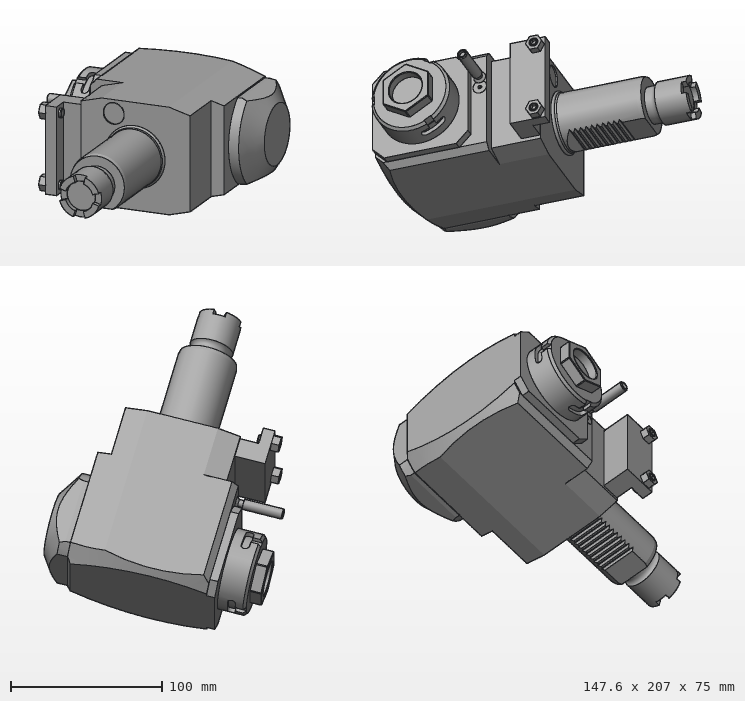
import cadquery as cq
import math


HALF_HEIGHT = 37.5
HOUSING_LEFT = -47.6
HOUSING_RIGHT = 48.6
HOUSING_BACK = 113.8
SHOULDER_Y = 35.0
LEFT_CHAMFER = 4.3
BLOCK_HALF_WIDTH = 39.3
FLAT_HALF_WIDTH = 24.2
SIDE_SLOPE = math.tan(math.radians(15))
BACK_CHAMFER_X = 3.0
CROWN_X = -9.5
CROWN_REACH = 104.1
CROWN_RADIUS = 182.2
PLUG_X = -15.7
PLUG_Z = 27.7
PLUG_RADIUS = 7.5
PLUG_DEPTH = 1.0

SPINDLE_Y = 80.0
PLATE_LEFT = -53.2
PLATE_FRONT = 46.2
PLATE_HALF_HEIGHT = 33.3
PLATE_CHAMFER = 8.3
COLLAR_LEFT = -72.5
COLLAR_RADIUS = 27.5
COLLAR_CHAMFER = 1.9
SLOT_X = -62.7
SLOT_WIDTH = 5.4
SLOT_LENGTH = 18.8
SLOT_DEPTH = 3.0
NOTCH_WIDTH = 5.4
NOTCH_DEPTH = 2.5
NOTCH_COUNT = 3
HEX_LEFT = -80.3
HEX_FLATS = 32.0
HEX_CHAMFER = 0.52
BORE_RADIUS = 11.5
BORE_DEPTH = 6.6
BORE_CHAMFER = 0.52

CAP_BACK = 110.0
CAP_RADIUS = 37.7
CAP_CONE_X = 55.9
CAP_RIGHT = 67.3
CAP_END_RADIUS = 21.3
CAP_HALF_HEIGHT = 30.0

PIN_Y = 40.0
PIN_Z = 17.5
PIN_LEFT = -80.0
PIN_RADIUS = 3.5
PIN_CHAMFER = 0.6
PIN_NECK_X = -52.5
PIN_NECK_RADIUS = 2.5
PIN_FLARE_X = -49.3
PIN_FLARE_RADIUS = 4.1
PIN_SOCKET_RADIUS = 2.3
PIN_SOCKET_DEPTH = 2.0
SEAT_Z = 10.4
SEAT_RADIUS = 4.8
SEAT_DEPTH = 0.2
SEAT_HOLE_RADIUS = 1.2
SEAT_HOLE_DEPTH = 2.0

BRACKET_LEFT = -60.0
BRACKET_BACK = 13.7
BRACKET_INNER_Y = 0.5
BRACKET_FRONT = -11.2
BRACKET_LEG = 8.0
BRACKET_HALF_HEIGHT = 30.8
SCREW_Y = -5.0
SCREW_Z = 25.0
SCREW_LEFT = -65.6
SCREW_RIGHT = -50.0
SCREW_RADIUS = 3.3
SCREW_CHAMFER = 0.6
SOCKET_FLATS = 4.0
SOCKET_DEPTH = 2.5
NUT_LEFT = -65.2
NUT_FLATS = 10.0

BEAD_RADIUS = 21.7
BEAD_LENGTH = 2.5
ROOT_END = -3.7
SHANK_RADIUS = 20.0
SHANK_END = -63.1
SHANK_CHAMFER_LENGTH = 2.7
SHANK_CHAMFER = 0.6
FLAT_Z = -16.1
TOOTH_PITCH = 4.0
TOOTH_DEPTH = 1.5
TOOTH_GAP_WIDTH = 2.7
FIRST_GAP_Y = -10.4
GAP_COUNT = 10
NECK_RADIUS = 12.6
NECK_END = -67.5
COUPLING_START = -71.0
COUPLING_RADIUS = 14.7
COUPLING_END = -93.2
COUPLING_BORE_RADIUS = 10.1
COUPLING_BORE_DEPTH = 4.0
CLAW_DEPTH = 3.3
CLAW_GAP_HALF_ANGLE = math.radians(17)
CLAW_GAP_COUNT = 4


def box(x0, x1, y0, y1, z0, z1):
    """Box between two opposite corners."""
    return cq.Workplane("XY").box(x1 - x0, y1 - y0, z1 - z0, centered=False).translate((x0, y0, z0))


def x_cylinder(radius, x0, x1, y, z):
    """Cylinder along X."""
    return cq.Workplane("YZ", origin=(x0, y, z)).circle(radius).extrude(x1 - x0)


def x_hexagon(flats, x0, x1, y, z, turn=0):
    """Hexagonal prism along X; without a turn its corners point along Y."""
    corners = flats / math.cos(math.pi / 6)
    prism = cq.Workplane("YZ").polygon(6, corners).extrude(x1 - x0)
    return prism.rotate((0, 0, 0), (1, 0, 0), turn).translate((x0, y, z))


def x_revolve(profile, y, z):
    """Turn a closed (x, radius) outline about an X axis through (y, z)."""
    turned = cq.Workplane("XY").polyline(profile).close().revolve(360, (0, 0, 0), (1, 0, 0))
    return turned.translate((0, y, z))


def slope_height(x):
    """Half height of the housing on its sloping sides."""
    return HALF_HEIGHT - SIDE_SLOPE * (abs(x) - FLAT_HALF_WIDTH)


def mirrored_prism(upper, y0, y1):
    """Extrude along Y an XZ outline given by its upper points, left to right, mirrored in Z."""
    lower = [(x, -z) for x, z in reversed(upper)]
    return cq.Workplane("XZ", origin=(0, y1, 0)).polyline(upper + lower).close().extrude(y1 - y0)


def crown(side):
    """Space inside the arched rear bevel, which leans at 45 degrees; side is 1 on top, -1 below."""
    def reach(x):
        return CROWN_REACH - CROWN_RADIUS + math.sqrt(CROWN_RADIUS**2 - (x - CROWN_X)**2)

    bevel = cq.Plane(origin=(0, 0, 0), xDir=(1, 0, 0), normal=(0, -side, 1))
    return (
        cq.Workplane(bevel)
        .moveTo(HOUSING_LEFT, 0)
        .lineTo(HOUSING_LEFT, reach(HOUSING_LEFT))
        .threePointArc((CROWN_X, CROWN_REACH), (HOUSING_RIGHT, reach(HOUSING_RIGHT)))
        .lineTo(HOUSING_RIGHT, 0)
        .close()
        .extrude(HOUSING_BACK, both=True)
    )


def housing():
    upper = mirrored_prism(
        [
            (HOUSING_LEFT, HALF_HEIGHT - LEFT_CHAMFER),
            (HOUSING_LEFT + LEFT_CHAMFER, HALF_HEIGHT),
            (FLAT_HALF_WIDTH, HALF_HEIGHT),
            (HOUSING_RIGHT, slope_height(HOUSING_RIGHT)),
        ],
        SHOULDER_Y,
        HOUSING_BACK,
    )
    plan = (
        cq.Workplane("XY", origin=(0, 0, -HALF_HEIGHT))
        .moveTo(HOUSING_LEFT, SPINDLE_Y)
        .lineTo(HOUSING_LEFT, HOUSING_BACK)
        .lineTo(HOUSING_RIGHT - BACK_CHAMFER_X, HOUSING_BACK)
        .lineTo(HOUSING_RIGHT, CAP_BACK)
        .lineTo(HOUSING_RIGHT, SPINDLE_Y)
        .close()
        .extrude(2 * HALF_HEIGHT)
    )
    front_half = box(HOUSING_LEFT, HOUSING_RIGHT, SHOULDER_Y, SPINDLE_Y, -HALF_HEIGHT, HALF_HEIGHT)
    rear_half = plan.intersect(crown(1)).intersect(crown(-1))
    upper = upper.intersect(front_half).union(upper.intersect(rear_half))

    block_edge = slope_height(BLOCK_HALF_WIDTH)
    lower = mirrored_prism(
        [
            (-BLOCK_HALF_WIDTH, block_edge),
            (-FLAT_HALF_WIDTH, HALF_HEIGHT),
            (FLAT_HALF_WIDTH, HALF_HEIGHT),
            (BLOCK_HALF_WIDTH, block_edge),
        ],
        0,
        SHOULDER_Y,
    )
    plug_recess = (
        cq.Workplane("XZ", origin=(PLUG_X, PLUG_DEPTH, PLUG_Z)).circle(PLUG_RADIUS).extrude(PLUG_DEPTH)
    )
    seat_hole = x_cylinder(SEAT_HOLE_RADIUS, HOUSING_LEFT, HOUSING_LEFT + SEAT_HOLE_DEPTH, PIN_Y, SEAT_Z)
    seat = x_cylinder(SEAT_RADIUS, HOUSING_LEFT, HOUSING_LEFT + SEAT_DEPTH, PIN_Y, SEAT_Z)
    return upper.union(lower).cut(plug_recess).cut(seat).cut(seat_hole)


def flange_plate():
    plate = box(
        PLATE_LEFT, HOUSING_LEFT, PLATE_FRONT, HOUSING_BACK, -PLATE_HALF_HEIGHT, PLATE_HALF_HEIGHT
    )
    return plate.edges("|X").chamfer(PLATE_CHAMFER)


def collar():
    """Round collar with three face notches, each running into a curved slot on the rim."""
    body = x_cylinder(COLLAR_RADIUS, COLLAR_LEFT, PLATE_LEFT, 0, 0).faces("<X").chamfer(COLLAR_CHAMFER)
    slot = (
        cq.Workplane("XZ", origin=(SLOT_X, 2 * COLLAR_RADIUS, 0))
        .slot2D(SLOT_LENGTH, SLOT_WIDTH, 90)
        .extrude(2 * COLLAR_RADIUS)
        .cut(x_cylinder(COLLAR_RADIUS - SLOT_DEPTH, COLLAR_LEFT, PLATE_LEFT, 0, 0))
    )
    notch = box(
        COLLAR_LEFT, SLOT_X, COLLAR_RADIUS - NOTCH_DEPTH, COLLAR_RADIUS, -NOTCH_WIDTH / 2, NOTCH_WIDTH / 2
    )
    opening = slot.union(notch)
    for index in range(NOTCH_COUNT):
        body = body.cut(opening.rotate((0, 0, 0), (1, 0, 0), index * 360 / NOTCH_COUNT))
    return body.translate((0, SPINDLE_Y, 0))


def spindle_hexagon():
    hexagon = x_hexagon(HEX_FLATS, HEX_LEFT, COLLAR_LEFT, SPINDLE_Y, 0, turn=90)
    hexagon = hexagon.edges("|X or <X").chamfer(HEX_CHAMFER)
    bore = x_revolve(
        [
            (HEX_LEFT, 0),
            (HEX_LEFT, BORE_RADIUS + BORE_CHAMFER),
            (HEX_LEFT + BORE_CHAMFER, BORE_RADIUS),
            (HEX_LEFT + BORE_DEPTH, BORE_RADIUS),
            (HEX_LEFT + BORE_DEPTH, 0),
        ],
        SPINDLE_Y,
        0,
    )
    return hexagon.cut(bore)


def rear_cap():
    turned = x_revolve(
        [
            (HOUSING_RIGHT, 0),
            (HOUSING_RIGHT, CAP_RADIUS),
            (CAP_CONE_X, CAP_RADIUS),
            (CAP_RIGHT, CAP_END_RADIUS),
            (CAP_RIGHT, 0),
        ],
        SPINDLE_Y,
        0,
    )
    slope_start = FLAT_HALF_WIDTH + (HALF_HEIGHT - CAP_HALF_HEIGHT) / SIDE_SLOPE
    envelope = mirrored_prism(
        [
            (HOUSING_RIGHT, CAP_HALF_HEIGHT),
            (slope_start, CAP_HALF_HEIGHT),
            (CAP_RIGHT, slope_height(CAP_RIGHT)),
        ],
        SPINDLE_Y - CAP_RADIUS,
        CAP_BACK,
    )
    return turned.intersect(envelope)


def coolant_pin():
    pin = x_revolve(
        [
            (PIN_LEFT, 0),
            (PIN_LEFT, PIN_RADIUS - PIN_CHAMFER),
            (PIN_LEFT + PIN_CHAMFER, PIN_RADIUS),
            (PIN_NECK_X, PIN_RADIUS),
            (PIN_NECK_X, PIN_NECK_RADIUS),
            (PIN_FLARE_X, PIN_NECK_RADIUS),
            (HOUSING_LEFT, PIN_FLARE_RADIUS),
            (HOUSING_LEFT + SEAT_DEPTH, PIN_FLARE_RADIUS),
            (HOUSING_LEFT + SEAT_DEPTH, 0),
        ],
        PIN_Y,
        PIN_Z,
    )
    return pin.cut(x_cylinder(PIN_SOCKET_RADIUS, PIN_LEFT, PIN_LEFT + PIN_SOCKET_DEPTH, PIN_Y, PIN_Z))


def stop_bracket():
    leg_right = BRACKET_LEFT + BRACKET_LEG
    height = (-BRACKET_HALF_HEIGHT, BRACKET_HALF_HEIGHT)
    bracket = box(BRACKET_LEFT, -BLOCK_HALF_WIDTH, BRACKET_INNER_Y, BRACKET_BACK, *height)
    bracket = bracket.union(box(BRACKET_LEFT, leg_right, BRACKET_FRONT, BRACKET_BACK, *height))
    for z in (-SCREW_Z, SCREW_Z):
        nut = x_hexagon(NUT_FLATS, NUT_LEFT, BRACKET_LEFT, SCREW_Y, z)
        screw = x_cylinder(SCREW_RADIUS, SCREW_LEFT, SCREW_RIGHT, SCREW_Y, z).edges().chamfer(SCREW_CHAMFER)
        socket = x_hexagon(SOCKET_FLATS, SCREW_LEFT, SCREW_LEFT + SOCKET_DEPTH, SCREW_Y, z)
        bracket = bracket.union(nut).union(screw).cut(socket)
    return bracket


def shank():
    """Toothed cylindrical shank, turned about Y, with a rounded bead against the housing."""
    bead_rounding = BEAD_LENGTH / 2
    bead_root = BEAD_RADIUS - bead_rounding
    body = (
        cq.Workplane("XY")
        .lineTo(bead_root, 0)
        .threePointArc((BEAD_RADIUS, -bead_rounding), (bead_root, -BEAD_LENGTH))
        .lineTo(SHANK_RADIUS, ROOT_END)
        .lineTo(SHANK_RADIUS, SHANK_END + SHANK_CHAMFER_LENGTH)
        .lineTo(SHANK_RADIUS - SHANK_CHAMFER, SHANK_END)
        .lineTo(0, SHANK_END)
        .close()
        .revolve(360, (0, 0, 0), (0, 1, 0))
    )

    gap_top = FLAT_Z + TOOTH_DEPTH
    run_out_y = FIRST_GAP_Y + gap_top + SHANK_RADIUS
    below_flat = (
        cq.Workplane("YZ", origin=(-SHANK_RADIUS, 0, 0))
        .moveTo(SHANK_END, FLAT_Z)
        .lineTo(FIRST_GAP_Y - TOOTH_DEPTH, FLAT_Z)
        .lineTo(FIRST_GAP_Y, gap_top)
        .lineTo(run_out_y, -SHANK_RADIUS)
        .lineTo(SHANK_END, -SHANK_RADIUS)
        .close()
        .extrude(2 * SHANK_RADIUS)
    )
    body = body.cut(below_flat)
    for index in range(1, GAP_COUNT):
        y = FIRST_GAP_Y - index * TOOTH_PITCH
        gap = (
            cq.Workplane("YZ", origin=(-SHANK_RADIUS, 0, 0))
            .moveTo(y - TOOTH_GAP_WIDTH / 2, FLAT_Z)
            .lineTo(y, gap_top)
            .lineTo(y + TOOTH_GAP_WIDTH / 2, FLAT_Z)
            .close()
            .extrude(2 * SHANK_RADIUS)
        )
        body = body.cut(gap)
    return body


def coupling():
    """Claw coupling on the end of the shank."""
    body = (
        cq.Workplane("XY")
        .moveTo(0, SHANK_END)
        .lineTo(NECK_RADIUS, SHANK_END)
        .lineTo(NECK_RADIUS, NECK_END)
        .tangentArcPoint((COUPLING_RADIUS, COUPLING_START), relative=False)
        .lineTo(COUPLING_RADIUS, COUPLING_END)
        .lineTo(0, COUPLING_END)
        .close()
        .revolve(360, (0, 0, 0), (0, 1, 0))
    )
    bore_floor = COUPLING_END + COUPLING_BORE_DEPTH
    bore = cq.Workplane("XZ", origin=(0, bore_floor, 0)).circle(COUPLING_BORE_RADIUS)
    body = body.cut(bore.extrude(COUPLING_BORE_DEPTH))
    reach = 2 * COUPLING_RADIUS
    half_width = reach * math.tan(CLAW_GAP_HALF_ANGLE)
    wedge = (
        cq.Workplane("XZ", origin=(0, COUPLING_END + CLAW_DEPTH, 0))
        .polyline([(0, 0), (reach, half_width), (reach, -half_width)])
        .close()
        .extrude(CLAW_DEPTH)
    )
    for index in range(CLAW_GAP_COUNT):
        body = body.cut(wedge.rotate((0, 0, 0), (0, 1, 0), index * 360 / CLAW_GAP_COUNT))
    return body


result = housing()
for feature in (
    flange_plate(),
    collar(),
    spindle_hexagon(),
    rear_cap(),
    coolant_pin(),
    stop_bracket(),
    shank(),
    coupling(),
):
    result = result.union(feature)